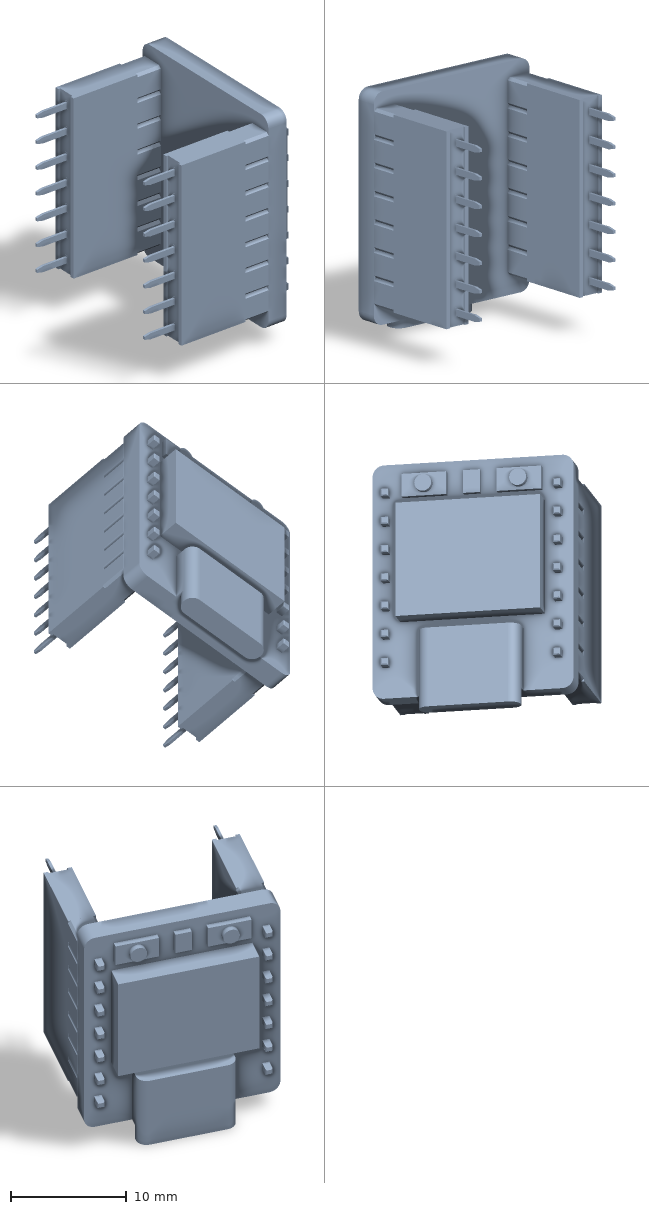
import cadquery as cq


pitch = 2.54
pin_count = 7
row_spacing = 6 * pitch
row_xs = (-row_spacing / 2, row_spacing / 2)
row_length = pin_count * pitch
row_center_z = 0.21
pin_zs = [row_center_z + (i - (pin_count - 1) / 2) * pitch for i in range(pin_count)]

board_width = 17.78
board_length = 21.0
board_thickness = 2.0
board_corner_radius = 1.0
board_center_x = -0.04
board_top_z = board_length / 2
board_bottom_z = -board_length / 2

shield_width = 12.8
shield_length = 10.2
shield_height = 2.0
shield_top_z = board_top_z - 4.0

usb_width = 9.0
usb_height = 2.0
usb_overhang = 1.5
usb_length = 7.1
usb_radius = 0.95
usb_bottom_z = board_bottom_z - usb_overhang
usb_top_z = usb_bottom_z + usb_length

button_width = 3.95
button_length = 2.05
button_base_height = 0.5
button_spacing = 8.4
button_center_z = board_top_z - 1.0 - button_length / 2
knob_diameter = 1.5
knob_height = 1.0
chip_width = 1.5

header_height = pitch
header_chamfer = pitch / 10
header_pin_width = 0.64
header_pin_protrusion = 1.0
header_pin_chamfer = 0.1

socket_height = 7.0
groove_width = 1.72
groove_depth = 0.2
socket_pin_thickness = 0.25
socket_pin_width = 0.6
socket_pin_tip_width = 0.3
socket_pin_taper = 0.65
socket_pin_protrusion = 3.1
socket_pin_shoulder_width = 0.9
socket_pin_shoulder_height = 0.02

board_front_y = -board_thickness
header_front_y = board_front_y - header_height
socket_front_y = header_front_y - socket_height
groove_floor_y = socket_front_y + groove_depth
socket_pin_shoulder_y = groove_floor_y - socket_pin_shoulder_height
socket_pin_tip_y = socket_front_y - socket_pin_protrusion


def block(size_x, size_z, y_start, y_end, x=0.0, z=0.0):
    """Box centred on (x, z) that spans y_start to y_end."""
    size_y = y_end - y_start
    return cq.Workplane("XY").box(size_x, size_y, size_z).translate((x, y_start + size_y / 2, z))


def make_usb_connector():
    """Rounded shell along Z, with a square seat under its lower half on the board."""
    shell = (
        cq.Workplane("XY", origin=(0, usb_height / 2, usb_bottom_z))
        .rect(usb_width, usb_height)
        .extrude(usb_length)
        .edges("|Z")
        .fillet(usb_radius)
    )
    seat_length = usb_top_z - board_bottom_z
    seat = block(usb_width, seat_length, 0, usb_height / 2, z=board_bottom_z + seat_length / 2)
    return shell.union(seat)


def make_button(x):
    base = block(button_width, button_length, 0, button_base_height, x, button_center_z)
    knob = (
        cq.Workplane("XZ", origin=(x, 0, button_center_z))
        .circle(knob_diameter / 2)
        .extrude(-knob_height)
    )
    return base.union(knob)


def make_board():
    """Board with its soldered components and square holes for the header pins."""
    board = block(board_width, board_length, board_front_y, 0, board_center_x)
    board = board.edges("|Y").fillet(board_corner_radius)
    for x in row_xs:
        for z in pin_zs:
            board = board.cut(block(header_pin_width, header_pin_width, board_front_y, 0, x, z))

    shield_center_z = shield_top_z - shield_length / 2
    board = board.union(block(shield_width, shield_length, 0, shield_height, z=shield_center_z))
    board = board.union(make_usb_connector())
    for x in (-button_spacing / 2, button_spacing / 2):
        board = board.union(make_button(x))
    return board.union(block(chip_width, button_length, 0, button_base_height, z=button_center_z))


def make_header(x):
    """Row of chamfered plastic blocks, each with a pin through the board."""
    header = cq.Workplane("XY")
    for z in pin_zs:
        segment = block(pitch, pitch, header_front_y, board_front_y, x, z)
        segment = segment.edges("|Y").chamfer(header_chamfer)
        pin = block(header_pin_width, header_pin_width, board_front_y, header_pin_protrusion, x, z)
        pin = pin.faces(">Y").chamfer(header_pin_chamfer)
        header = header.union(segment).union(pin)
    return header


def make_socket_pin(x, z):
    """Flat pin on a low, wider shoulder at the groove floor, narrowing in Z toward its tip."""
    half_width = socket_pin_width / 2
    half_tip = socket_pin_tip_width / 2
    taper_start_y = socket_pin_tip_y + socket_pin_taper
    outline = [
        (groove_floor_y, -half_width),
        (taper_start_y, -half_width),
        (socket_pin_tip_y, -half_tip),
        (socket_pin_tip_y, half_tip),
        (taper_start_y, half_width),
        (groove_floor_y, half_width),
    ]
    pin = (
        cq.Workplane("YZ", origin=(x, 0, z))
        .polyline(outline)
        .close()
        .extrude(socket_pin_thickness / 2, both=True)
    )
    shoulder = block(
        socket_pin_thickness, socket_pin_shoulder_width, socket_pin_shoulder_y, groove_floor_y, x, z
    )
    return pin.union(shoulder)


def make_socket(x):
    """Housing with a full-length groove in its end face and a row of pins."""
    socket = block(pitch, row_length, socket_front_y, header_front_y, x, row_center_z)
    socket = socket.cut(block(groove_width, row_length, socket_front_y, groove_floor_y, x, row_center_z))
    for z in pin_zs:
        socket = socket.union(make_socket_pin(x, z))
    return socket


board_assembly = make_board()
headers = [make_header(x) for x in row_xs]
sockets = [make_socket(x) for x in row_xs]

result = cq.Compound.makeCompound(
    [
        board_assembly.val(),
        *[header.val() for header in headers],
        *[socket.val() for socket in sockets],
    ]
)